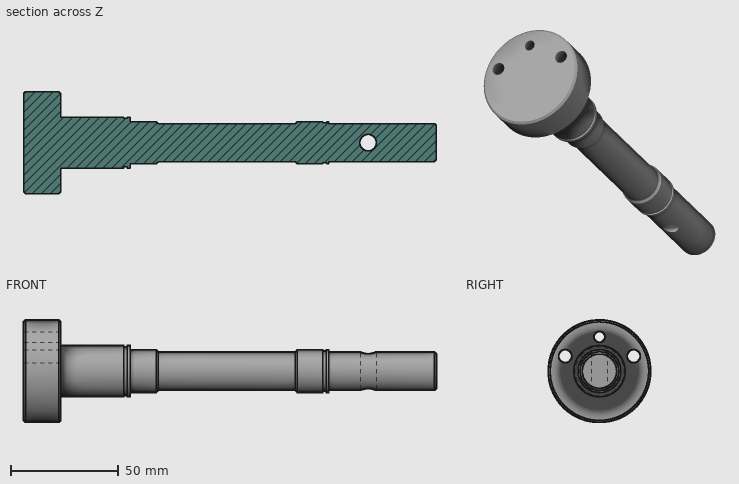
import cadquery as cq

flange_diameter = 48.0
flange_length = 17.5
flange_chamfer = 1.0

journal_diameter = 24.0
journal_end = 50.0

seat_diameter = 20.0
shaft_diameter = 18.0
shaft_end = 193.0
shaft_chamfer = 1.0
seat_chamfer = (seat_diameter - shaft_diameter) / 2
first_seat_end = 63.0
second_seat_start = 127.0
second_seat_end = 142.7

groove_width = 1.6
journal_groove_diameter = 22.9
journal_land = 1.5
seat_groove_diameter = 19.0
seat_land = 1.2

cross_hole_diameter = 7.5
cross_hole_x = 161.0

top_hole_diameter = 5.0
top_hole_z = 16.0
side_hole_diameter = 6.0
side_hole_y = 16.0
side_hole_z = 7.0


def cylinder(start, end, diameter):
    """Solid cylinder on the X axis between two X positions."""
    return cq.Workplane("YZ", origin=(start, 0, 0)).circle(diameter / 2).extrude(end - start)


def ring_groove(land_start, outer_diameter, floor_diameter):
    """Ring of material to remove, ending where the land starts."""
    start = land_start - groove_width
    return cylinder(start, land_start, outer_diameter).cut(cylinder(start, land_start, floor_diameter))


def make_body():
    """Stepped round body with chamfered flange, seats and shaft end."""
    flange = cylinder(0, flange_length, flange_diameter).edges().chamfer(flange_chamfer)
    journal = cylinder(flange_length, journal_end, journal_diameter)
    first_seat = cylinder(journal_end, first_seat_end, seat_diameter).edges(">X").chamfer(seat_chamfer)
    second_seat = cylinder(second_seat_start, second_seat_end, seat_diameter)
    second_seat = second_seat.edges("<X").chamfer(seat_chamfer)
    shaft = cylinder(journal_end, shaft_end, shaft_diameter).edges(">X").chamfer(shaft_chamfer)
    return flange.union(journal).union(shaft).union(first_seat).union(second_seat)


def cut_grooves(body):
    """Cut one groove in the journal and one in the second seat."""
    journal_groove = ring_groove(journal_end - journal_land, journal_diameter, journal_groove_diameter)
    seat_groove = ring_groove(second_seat_end - seat_land, seat_diameter, seat_groove_diameter)
    return body.cut(journal_groove).cut(seat_groove)


def drill_holes(body):
    """Drill the cross hole along Z and the three flange holes along X."""
    cross_hole = (
        cq.Workplane("XY", origin=(cross_hole_x, 0, -shaft_diameter))
        .circle(cross_hole_diameter / 2)
        .extrude(2 * shaft_diameter)
    )
    top_hole = cylinder(0, flange_length, top_hole_diameter).translate((0, 0, top_hole_z))
    body = body.cut(cross_hole).cut(top_hole)
    for y in (-side_hole_y, side_hole_y):
        side_hole = cylinder(0, flange_length, side_hole_diameter)
        body = body.cut(side_hole.translate((0, y, side_hole_z)))
    return body


result = drill_holes(cut_grooves(make_body()))